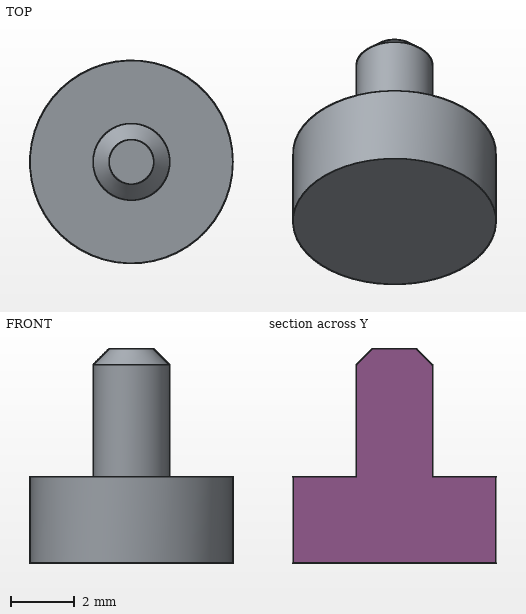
import cadquery as cq

total_height = 6.7
head_diameter = 6.35
head_height = 2.7
pin_diameter = 2.4
tip_chamfer = 0.5

pin_length = total_height - head_height

head = cq.Workplane("XY").circle(head_diameter / 2).extrude(head_height)

pin = (
    cq.Workplane("XY", origin=(0, 0, head_height))
    .circle(pin_diameter / 2)
    .extrude(pin_length)
    .faces(">Z")
    .chamfer(tip_chamfer)
)

result = head.union(pin)